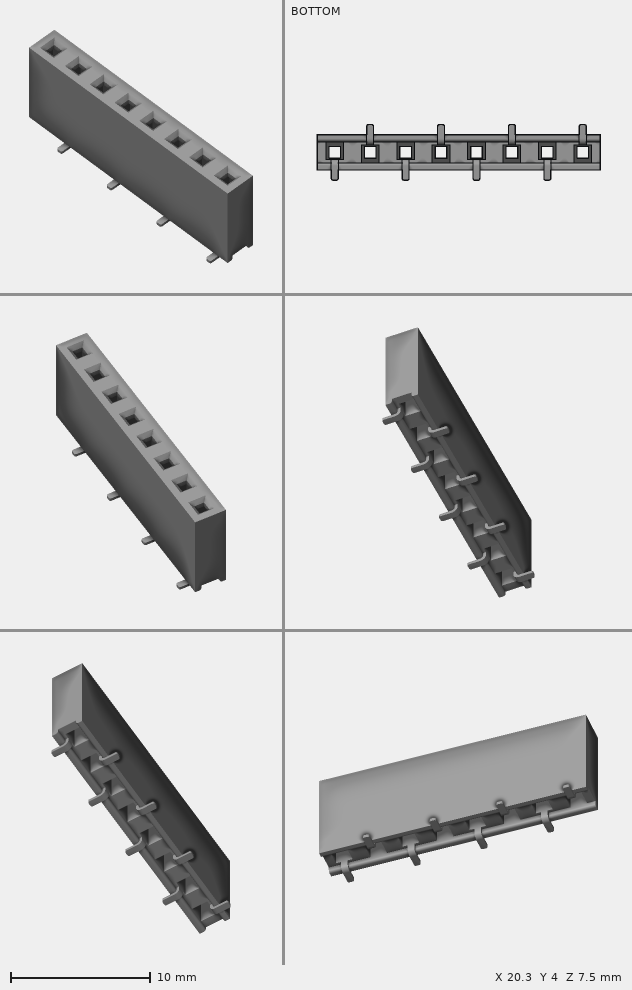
import cadquery as cq

contact_count = 8
length = 20.32
pitch = length / contact_count
depth = pitch
total_height = 7.5
standoff = 0.3

channel_width = 1.52
channel_top = 0.73
rib_corner_radius = 0.2

hole_size = 0.81
funnel_size = 1.42
funnel_depth = (funnel_size - hole_size) / 2
throat_depth = 0.39

cavity_width = 1.25
cavity_top = total_height - funnel_depth - throat_depth

lead_width = 0.5
lead_thickness = 0.25
lead_bend_radius = 0.2
lead_span = 4.0
toe_radius = 0.15
lead_outer_face = channel_width / 2
lead_inner_face = lead_outer_face - lead_thickness


def contact_x(index):
    """X position of a contact, counted from the -X end."""
    return (index - (contact_count - 1) / 2) * pitch


def make_housing():
    """Block with the round-cornered channel cut along its underside."""
    block = cq.Workplane("XY").workplane(offset=standoff).box(
        length, depth, total_height - standoff, centered=(True, True, False)
    )
    channel = cq.Workplane("XY").box(
        length, channel_width, channel_top, centered=(True, True, False)
    )
    mid_rib = (channel_width + depth) / 4
    inner_corners = cq.selectors.BoxSelector(
        (-length, -mid_rib, 0), (length, mid_rib, channel_top)
    )
    return block.cut(channel).faces("<Z").edges("|X").edges(inner_corners).fillet(rib_corner_radius)


def make_opening():
    """Tapered entry and through hole on the Z axis, with the cavity for a lead on the +Y side."""
    hole = cq.Workplane("XY").rect(hole_size, hole_size).extrude(total_height)
    funnel = (
        cq.Workplane("XY")
        .workplane(offset=total_height - funnel_depth)
        .rect(hole_size, hole_size)
        .workplane(offset=funnel_depth)
        .rect(funnel_size, funnel_size)
        .loft()
    )
    cavity = cq.Workplane("XY").box(
        cavity_width,
        lead_outer_face + lead_inner_face,
        cavity_top - channel_top,
        centered=(True, False, False),
    ).translate((0, -lead_outer_face, channel_top))
    return hole.union(funnel).union(cavity)


def make_lead():
    """Lead dropping from the channel roof and bending outward to +Y."""
    bend_y = lead_outer_face + lead_bend_radius
    bend_z = lead_thickness + lead_bend_radius
    toe = lead_span / 2
    strip = (
        cq.Workplane("YZ")
        .moveTo(lead_inner_face, channel_top)
        .lineTo(lead_inner_face, bend_z)
        .radiusArc((bend_y, 0), -bend_z)
        .lineTo(toe, 0)
        .lineTo(toe, lead_thickness)
        .lineTo(bend_y, lead_thickness)
        .radiusArc((lead_outer_face, bend_z), lead_bend_radius)
        .lineTo(lead_outer_face, channel_top)
        .close()
        .extrude(lead_width / 2, both=True)
    )
    return strip.faces(">Y").edges("|Z").fillet(toe_radius)


result = make_housing()
opening = make_opening()
lead = make_lead()
for index in range(contact_count):
    place = (contact_x(index), 0, 0)
    turn = 180 * (index % 2)
    turned_opening = opening.rotate((0, 0, 0), (0, 0, 1), turn)
    turned_lead = lead.rotate((0, 0, 0), (0, 0, 1), turn)
    result = result.cut(turned_opening.translate(place))
    result = result.union(turned_lead.translate(place))